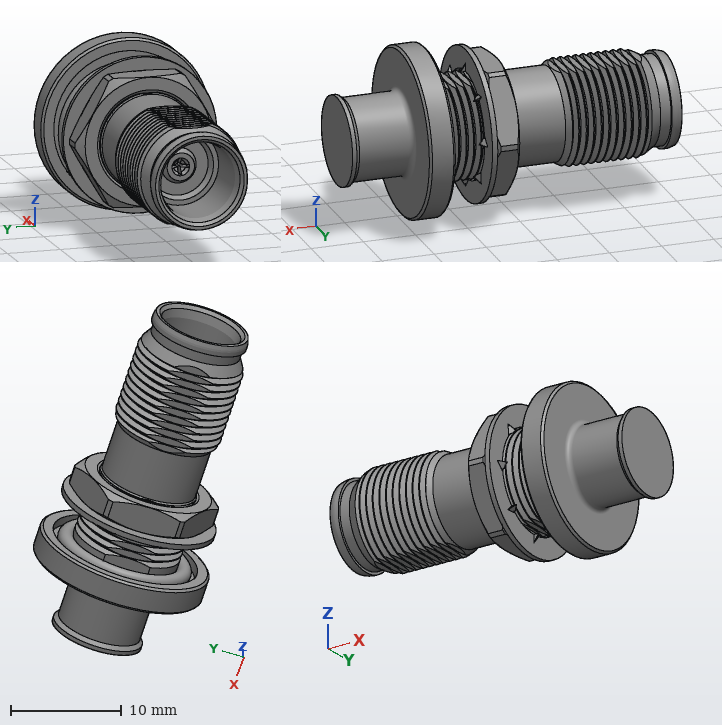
import cadquery as cq
import math


length = 31.5
lip_radius = 4.5
lip_face_radius = 4.35
lip_chamfer_radius = 4.47
lip_chamfer_end = 0.4
lip_round_end = 0.6
lip_end = 1.0
relief_radius = 4.22
relief_end = 2.02
lead_in_angle = 30.0

thread_radius = 4.98
thread_root_radius = 4.45
thread_angle = 60.0
thread_cutter_overlap = 0.3
first_root_x = 3.25
last_root_x = 21.92
front_root_count = 11
rear_root_index = 18
rear_root_count = 9
thread_pitch = (last_root_x - first_root_x) / (rear_root_index + rear_root_count - 1)
body_radius = thread_root_radius
body_start = 11.18
body_end = 15.95
runout_length = 0.72
flat_height = 4.5
flat_cutter_height = 3.15

flange_radius = 8.0
flange_start = 22.93
flange_end = 25.42
flange_chamfer = 0.22
seal_groove_radius = 6.85
seal_groove_depth = 0.88
seal_ring_radius = 5.58
seal_tube_radius = 0.72
seal_ring_center_x = 23.2
seal_ring_drop = 0.5

tube_radius = 3.87
tube_fillet = 0.5
flare_radius = 4.22
flare_start = 30.7
flare_end = 31.1

nut_start = 16.13
nut_end = 18.68
nut_across_flats = 12.03
nut_corner_radius = 6.8
nut_face_radius = 6.0
nut_chamfer_angle = 30.0
nut_countersink_radius = 4.82
nut_countersink_depth = 0.22

washer_radius = 7.25
washer_bore_radius = 5.15
washer_end = 19.18
tooth_count = 8
tooth_height = 0.55
tooth_depth = 0.82
tooth_width = 0.72

mouth_radius = 4.03
mouth_chamfer_radius = 3.75
mouth_chamfer_depth = 0.35
bore_radius = 3.55
bore_start = 1.2
bore_end = 6.3
recess_mouth_radius = 3.1
recess_floor_radius = 2.77
recess_floor = 6.93
boss_base_radius = 1.65
boss_top_radius = 1.3
boss_top = 6.3

contact_mouth_radius = 0.82
contact_hole_radius = 0.57
contact_countersink_depth = 0.38
contact_hole_depth = 0.75
slot_width = 0.28
slot_depth = 1.25


def revolve_about_x(points):
    """Solid of revolution about X from (x, radius) points."""
    return cq.Workplane("XY").polyline(points).close().revolve(360, (0, 0, 0), (1, 0, 0))


def ring(x_start, x_end, outer_radius, inner_radius):
    """Flat ring between two stations on the X axis."""
    return (
        cq.Workplane("YZ", origin=(x_start, 0, 0))
        .circle(outer_radius)
        .circle(inner_radius)
        .extrude(x_end - x_start)
    )


def thread_groove(x_root):
    """V-shaped ring that cuts one thread root."""
    outer_radius = thread_radius + thread_cutter_overlap
    half_width = (outer_radius - thread_root_radius) * math.tan(math.radians(thread_angle / 2))
    return revolve_about_x([
        (x_root, thread_root_radius),
        (x_root - half_width, outer_radius),
        (x_root + half_width, outer_radius),
    ])


def make_blank():
    """Body with the threaded stretches still at full diameter."""
    lead_in_length = (thread_radius - relief_radius) / math.tan(math.radians(lead_in_angle))
    return revolve_about_x([
        (0, 0),
        (0, lip_face_radius),
        (lip_chamfer_end, lip_chamfer_radius),
        (lip_round_end, lip_radius),
        (lip_end, lip_radius),
        (lip_end, relief_radius),
        (relief_end, relief_radius),
        (relief_end + lead_in_length, thread_radius),
        (body_start - runout_length, thread_radius),
        (body_start, body_radius),
        (body_end, body_radius),
        (body_end + runout_length, thread_radius),
        (flange_end, thread_radius),
        (flange_end, 0),
    ])


def cut_threads(body):
    """Ring-shaped thread roots, evenly pitched and missing along the plain body."""
    root_indices = list(range(front_root_count))
    root_indices += range(rear_root_index, rear_root_index + rear_root_count)
    for index in root_indices:
        body = body.cut(thread_groove(first_root_x + index * thread_pitch))
    return body


def cut_flats(body):
    """Two flats along the threads, facing up and down."""
    flat_length = flange_start + seal_groove_depth - relief_end
    for side in (1, -1):
        cutter = cq.Workplane("XY").box(flat_length, 2 * flange_radius, flat_cutter_height).translate(
            (relief_end + flat_length / 2, 0, side * (flat_height + flat_cutter_height / 2))
        )
        body = body.cut(cutter)
    return body


def make_flange():
    """Flange, its seal groove and the crimp tube behind it."""
    rim_radius = flange_radius - flange_chamfer
    fillet_middle = tube_fillet * (1 - math.sqrt(0.5))
    groove_floor = flange_start + seal_groove_depth
    return (
        cq.Workplane("XY")
        .moveTo(groove_floor, 0)
        .lineTo(groove_floor, seal_groove_radius)
        .lineTo(flange_start, seal_groove_radius)
        .lineTo(flange_start, rim_radius)
        .lineTo(flange_start + flange_chamfer, flange_radius)
        .lineTo(flange_end - flange_chamfer, flange_radius)
        .lineTo(flange_end, rim_radius)
        .lineTo(flange_end, tube_radius + tube_fillet)
        .threePointArc(
            (flange_end + fillet_middle, tube_radius + fillet_middle),
            (flange_end + tube_fillet, tube_radius),
        )
        .lineTo(flare_start, tube_radius)
        .lineTo(flare_end, flare_radius)
        .lineTo(length, flare_radius)
        .lineTo(length, 0)
        .close()
        .revolve(360, (0, 0, 0), (1, 0, 0))
    )


def make_seal_ring():
    """Sealing ring hanging low in its groove, close to the lower wall."""
    torus = cq.Solid.makeTorus(
        seal_ring_radius,
        seal_tube_radius,
        cq.Vector(seal_ring_center_x, 0, -seal_ring_drop),
        cq.Vector(1, 0, 0),
    )
    return cq.Workplane(obj=torus)


def make_nut():
    """Hexagon nut with flats facing up and down, chamfered at both faces."""
    nut_length = nut_end - nut_start
    chamfer_slope = math.tan(math.radians(nut_chamfer_angle))
    chamfer_length = (nut_corner_radius - nut_face_radius) * chamfer_slope
    hexagon = (
        cq.Workplane("YZ", origin=(nut_start, 0, 0))
        .polygon(6, nut_across_flats, circumscribed=True)
        .extrude(nut_length)
        .rotate((0, 0, 0), (1, 0, 0), 90)
    )
    envelope = revolve_about_x([
        (nut_start, 0),
        (nut_start, nut_face_radius),
        (nut_start + chamfer_length, nut_corner_radius),
        (nut_end - chamfer_length, nut_corner_radius),
        (nut_end, nut_face_radius),
        (nut_end, 0),
    ])
    countersink = revolve_about_x([
        (nut_start, 0),
        (nut_start, nut_countersink_radius),
        (nut_start + nut_countersink_depth, body_radius),
        (nut_start + nut_countersink_depth, 0),
    ])
    return hexagon.intersect(envelope).cut(countersink)


def make_tooth():
    """Pointed washer tooth at the top, leaning towards -Y."""
    root = (washer_end, 0, washer_bore_radius)
    outer = (washer_end, 0, washer_bore_radius + tooth_depth)
    side = (washer_end, -tooth_width, washer_bore_radius)
    tip = (washer_end + tooth_height, 0, washer_bore_radius)
    triangles = [(root, outer, side), (root, outer, tip), (root, side, tip), (outer, side, tip)]
    faces = []
    for triangle in triangles:
        edges = cq.Wire.makePolygon([cq.Vector(*corner) for corner in triangle], close=True)
        faces.append(cq.Face.makeFromWires(edges))
    return cq.Workplane(obj=cq.Solid.makeSolid(cq.Shell.makeShell(faces)))


def make_washer():
    """Flat washer with its teeth evenly spaced around the bore."""
    washer = ring(nut_end, washer_end, washer_radius, washer_bore_radius)
    tooth = make_tooth()
    for index in range(tooth_count):
        washer = washer.union(tooth.rotate((0, 0, 0), (1, 0, 0), index * 360 / tooth_count))
    return washer


def make_socket():
    """Space inside the mating end, leaving the conical boss standing on its floor."""
    return revolve_about_x([
        (0, 0),
        (0, mouth_radius),
        (mouth_chamfer_depth, mouth_chamfer_radius),
        (bore_start, bore_radius),
        (bore_end, bore_radius),
        (bore_end, recess_mouth_radius),
        (recess_floor, recess_floor_radius),
        (recess_floor, boss_base_radius),
        (boss_top, boss_top_radius),
        (boss_top, 0),
    ])


def make_contact_opening():
    """Two-step conical hole and the crossed slots that split the centre contact."""
    hole = revolve_about_x([
        (boss_top, 0),
        (boss_top, contact_mouth_radius),
        (boss_top + contact_countersink_depth, contact_hole_radius),
        (boss_top + contact_hole_depth, 0),
    ])
    slot = cq.Workplane("XY").box(slot_depth, 2 * contact_mouth_radius, slot_width).translate(
        (boss_top + slot_depth / 2, 0, 0)
    )
    return hole.union(slot).union(slot.rotate((0, 0, 0), (1, 0, 0), 90))


result = cut_flats(cut_threads(make_blank()))
result = result.cut(make_socket()).cut(make_contact_opening())
for piece in (make_flange(), make_seal_ring(), make_nut(), make_washer()):
    result = result.union(piece)